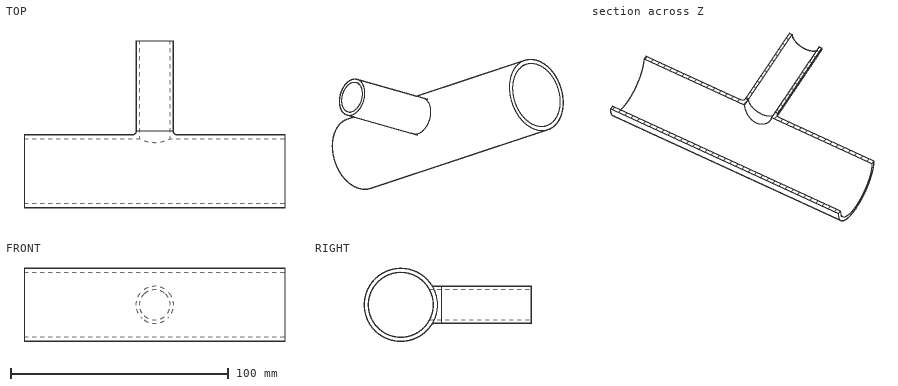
import cadquery as cq

run_length = 120.0
run_outer_diameter = 33.7
run_bore_diameter = 29.8

branch_outer_diameter = 17.2
branch_bore_diameter = 14.0
branch_end = 60.0
joint_position = 18.6
weld_fillet_radius = 1.5


def rod_along_x(diameter):
    """Solid rod as long as the run pipe, centred on the origin."""
    return cq.Workplane("YZ").circle(diameter / 2).extrude(run_length / 2, both=True)


def rod_along_y(diameter, start, end):
    """Solid rod on the Y axis between two distances from the run axis."""
    return cq.Workplane("XZ", origin=(0, start, 0)).circle(diameter / 2).extrude(start - end)


def make_run_pipe():
    """Run pipe with a short filleted stub that carries the branch tube."""
    pipe = rod_along_x(run_outer_diameter)
    stub = rod_along_y(branch_outer_diameter, 0, joint_position)

    reach = branch_outer_diameter
    foot_region = cq.selectors.BoxSelector(
        (-reach, 0, -reach),
        (reach, run_outer_diameter / 2 + weld_fillet_radius / 2, reach),
        boundingbox=True,
    )
    body = pipe.union(stub).edges(foot_region).fillet(weld_fillet_radius)

    run_bore = rod_along_x(run_bore_diameter)
    stub_bore = rod_along_y(branch_bore_diameter, 0, joint_position)
    return body.cut(run_bore).cut(stub_bore)


def make_branch_tube():
    """Plain tube from the stub face to the open end of the branch."""
    outside = rod_along_y(branch_outer_diameter, joint_position, branch_end)
    bore = rod_along_y(branch_bore_diameter, joint_position, branch_end)
    return outside.cut(bore)


run_pipe = make_run_pipe()
branch_tube = make_branch_tube()

result = cq.Compound.makeCompound([run_pipe.val(), branch_tube.val()])